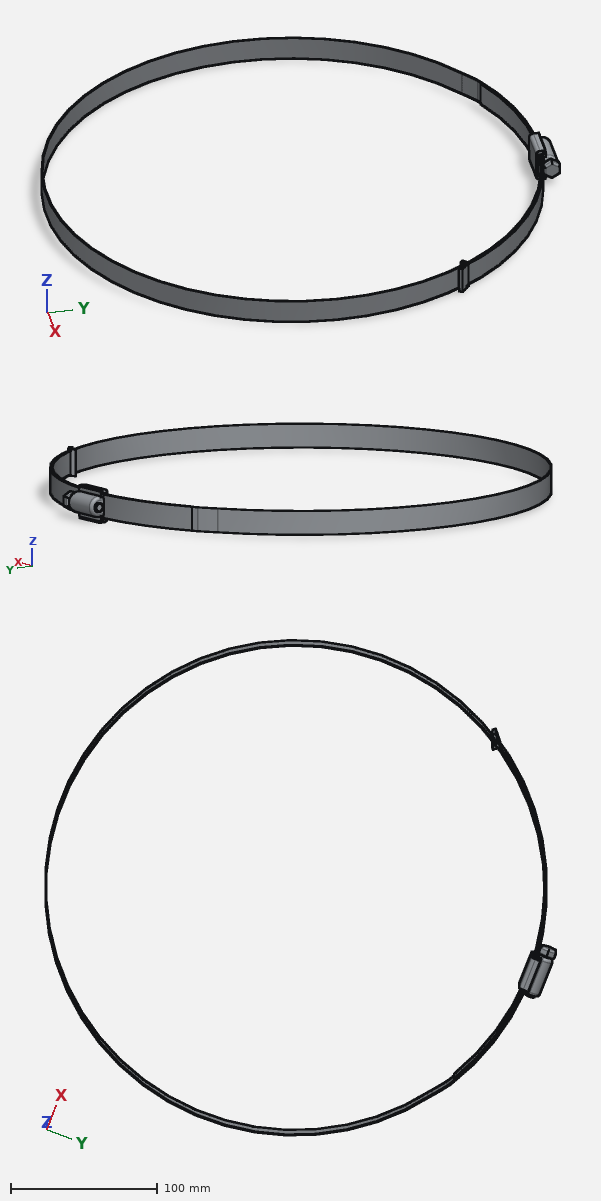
import cadquery as cq
import math


RING_DIAMETER = 341.5
CLAMP_LENGTH = 353.3

BAND_RADIUS = RING_DIAMETER / 2
BAND_THICKNESS = 0.7
BAND_WIDTH = 16.5
SIDE_CLEARANCE = 0.18
LAYER_GAP = 0.5
INNER_END_ANGLE = 119
RISE_START_ANGLE = 125.3
RISE_END_ANGLE = 120.5
TAIL_END_ANGLE = 30
TAIL_RADIUS = BAND_RADIUS + BAND_THICKNESS + LAYER_GAP

HOUSING_TOP = CLAMP_LENGTH - BAND_RADIUS
COVER_WIDTH = 14.5
COVER_RADIUS = COVER_WIDTH / 2
COVER_START = -10.2
COVER_END = 18.0
COVER_FILLET = 2.5
END_WALL = 1.5
FOOT_BOTTOM = 172.0
FOOT_THICKNESS = 1.8
FOOT_START = -9.5
FOOT_END = 17.0
FOOT_CHAMFER = 1.0
FOOT_SPAN = 21.0
FOOT_TOP = FOOT_BOTTOM + FOOT_THICKNESS
COVER_AXIS = HOUSING_TOP - COVER_RADIUS

SADDLE_SPAN = 23.0
SADDLE_START = -7.5
SADDLE_END = 16.0
SADDLE_BOTTOM = 167.0
SADDLE_FLOOR = 1.5
SADDLE_FILLET = 3.0

SCREW_AXIS = 176.5
WORM_RADIUS = 4.0
JOURNAL_RADIUS = 3.2
TIP_X = -11.5
TIP_CHAMFER = 0.53
WORM_END_PLAY = 0.5
BORE_CLEARANCE = 0.5
HEAD_START = 18.5
HEAD_END = 24.5
HEAD_SIDES = 6
HEAD_FLATS = 11.3
HEAD_FILLET = 1.5

KEEPER_ANGLE = 31.3
KEEPER_DIRECTION = -40
KEEPER_LENGTH = 10.0
KEEPER_DEPTH = 5.3
KEEPER_HEIGHT = 18.5
KEEPER_PLATE = 2.5
KEEPER_LEG_WIDTH = 2.5
KEEPER_CLEARANCE = 0.18


def polar(radius, angle):
    """Point at a radius and an angle in degrees around the clamp axis."""
    a = math.radians(angle)
    return (radius * math.cos(a), radius * math.sin(a))


def make_band():
    """One strip that runs clockwise round the ring and then over its own start."""
    ring_inner = BAND_RADIUS - BAND_THICKNESS
    tail_inner = TAIL_RADIUS - BAND_THICKNESS
    rise_start = RISE_START_ANGLE - 360
    rise_end = RISE_END_ANGLE - 360
    tail_end = TAIL_END_ANGLE - 360
    ring_middle = (INNER_END_ANGLE + rise_start) / 2
    rise_middle = (rise_start + rise_end) / 2
    tail_middle = (rise_end + tail_end) / 2
    rise_outer = (BAND_RADIUS + TAIL_RADIUS) / 2
    rise_inner = rise_outer - BAND_THICKNESS
    return (
        cq.Workplane("XY")
        .workplane(offset=-BAND_WIDTH / 2)
        .moveTo(*polar(BAND_RADIUS, INNER_END_ANGLE))
        .threePointArc(polar(BAND_RADIUS, ring_middle), polar(BAND_RADIUS, rise_start))
        .threePointArc(polar(rise_outer, rise_middle), polar(TAIL_RADIUS, rise_end))
        .threePointArc(polar(TAIL_RADIUS, tail_middle), polar(TAIL_RADIUS, tail_end))
        .lineTo(*polar(tail_inner, tail_end))
        .threePointArc(polar(tail_inner, tail_middle), polar(tail_inner, rise_end))
        .threePointArc(polar(rise_inner, rise_middle), polar(ring_inner, rise_start))
        .threePointArc(polar(ring_inner, ring_middle), polar(ring_inner, INNER_END_ANGLE))
        .close()
        .extrude(BAND_WIDTH)
    )


def box_between(x, y, height):
    """Box over an X range and a Y range, centred on Z = 0."""
    return (
        cq.Workplane("XY")
        .box(x[1] - x[0], y[1] - y[0], height)
        .translate(((x[0] + x[1]) / 2, (y[0] + y[1]) / 2, 0))
    )


def screw_cylinder(radius, start, end):
    """Cylinder on the screw axis between two X positions."""
    return (
        cq.Workplane("YZ", origin=(start, SCREW_AXIS, 0))
        .circle(radius)
        .extrude(end - start)
    )


def make_housing():
    """Arched cover with two side feet, hollowed for the worm and open towards the band."""
    cover = (
        cq.Workplane("YZ", origin=(COVER_START, 0, 0))
        .moveTo(FOOT_BOTTOM, -COVER_RADIUS)
        .lineTo(COVER_AXIS, -COVER_RADIUS)
        .threePointArc((HOUSING_TOP, 0), (COVER_AXIS, COVER_RADIUS))
        .lineTo(FOOT_BOTTOM, COVER_RADIUS)
        .close()
        .extrude(COVER_END - COVER_START)
        .faces("<X or >X")
        .edges("not <Y")
        .fillet(COVER_FILLET)
    )
    feet = box_between((FOOT_START, FOOT_END), (FOOT_BOTTOM, FOOT_TOP), FOOT_SPAN)
    feet = feet.edges("|Y").chamfer(FOOT_CHAMFER)

    cavity_x = (COVER_START + END_WALL, COVER_END - END_WALL)
    bore_radius = WORM_RADIUS + BORE_CLEARANCE
    bore = screw_cylinder(bore_radius, *cavity_x)
    band_opening = box_between(cavity_x, (FOOT_BOTTOM, SCREW_AXIS), 2 * bore_radius)
    journal_holes = screw_cylinder(JOURNAL_RADIUS, COVER_START, COVER_END)
    return cover.union(feet).cut(bore).cut(band_opening).cut(journal_holes)


def make_saddle():
    """Round-bottomed trough that carries the band and grips the housing feet."""
    length = (SADDLE_START, SADDLE_END)
    block = box_between(length, (SADDLE_BOTTOM, FOOT_TOP), SADDLE_SPAN)
    block = block.edges("|X and <Y").fillet(SADDLE_FILLET)
    band_channel = box_between(
        length, (SADDLE_BOTTOM + SADDLE_FLOOR, FOOT_BOTTOM), BAND_WIDTH + 2 * SIDE_CLEARANCE
    )
    foot_channel = box_between(length, (FOOT_BOTTOM, FOOT_TOP), FOOT_SPAN)
    return block.cut(band_channel).cut(foot_channel)


def make_screw():
    """Worm between two journals, with a hexagon head rounded at both ends."""
    worm_start = COVER_START + END_WALL + WORM_END_PLAY
    worm_end = COVER_END - END_WALL - WORM_END_PLAY
    journals = screw_cylinder(JOURNAL_RADIUS, TIP_X, HEAD_START).faces("<X").chamfer(TIP_CHAMFER)
    worm = screw_cylinder(WORM_RADIUS, worm_start, worm_end)

    head = (
        cq.Workplane("YZ", origin=(HEAD_START, SCREW_AXIS, 0))
        .polygon(HEAD_SIDES, HEAD_FLATS, circumscribed=True)
        .extrude(HEAD_END - HEAD_START)
        .faces("<X or >X")
        .edges()
        .fillet(HEAD_FILLET)
    )
    return journals.union(worm).union(head)


def make_keeper():
    """Slanted loop round both band layers: a plate outside, a narrow leg inside."""
    half_length = KEEPER_LENGTH / 2
    half_depth = KEEPER_DEPTH / 2
    leg_side = KEEPER_LEG_WIDTH - half_length
    plate_inside = half_depth - KEEPER_PLATE
    loop = (
        cq.Workplane("XY")
        .workplane(offset=-KEEPER_HEIGHT / 2)
        .polyline(
            [
                (-half_length, half_depth),
                (half_length, half_depth),
                (half_length, plate_inside),
                (leg_side, plate_inside),
                (leg_side, -half_depth),
                (-half_length, -half_depth),
            ]
        )
        .close()
        .extrude(KEEPER_HEIGHT)
        .rotate((0, 0, 0), (0, 0, 1), KEEPER_DIRECTION)
        .translate((*polar(BAND_RADIUS, KEEPER_ANGLE), 0))
    )
    slot_inside = BAND_RADIUS - BAND_THICKNESS - KEEPER_CLEARANCE
    slot_outside = TAIL_RADIUS + KEEPER_CLEARANCE
    slot = box_between(
        (slot_inside, slot_outside), (-KEEPER_LENGTH, KEEPER_LENGTH), BAND_WIDTH + 2 * SIDE_CLEARANCE
    )
    return loop.cut(slot.rotate((0, 0, 0), (0, 0, 1), KEEPER_ANGLE))


band = make_band()
housing = make_housing()
saddle = make_saddle()
screw = make_screw()
keeper = make_keeper()

bodies = [band, housing, saddle, screw, keeper]
result = cq.Compound.makeCompound([body.solids().val() for body in bodies])